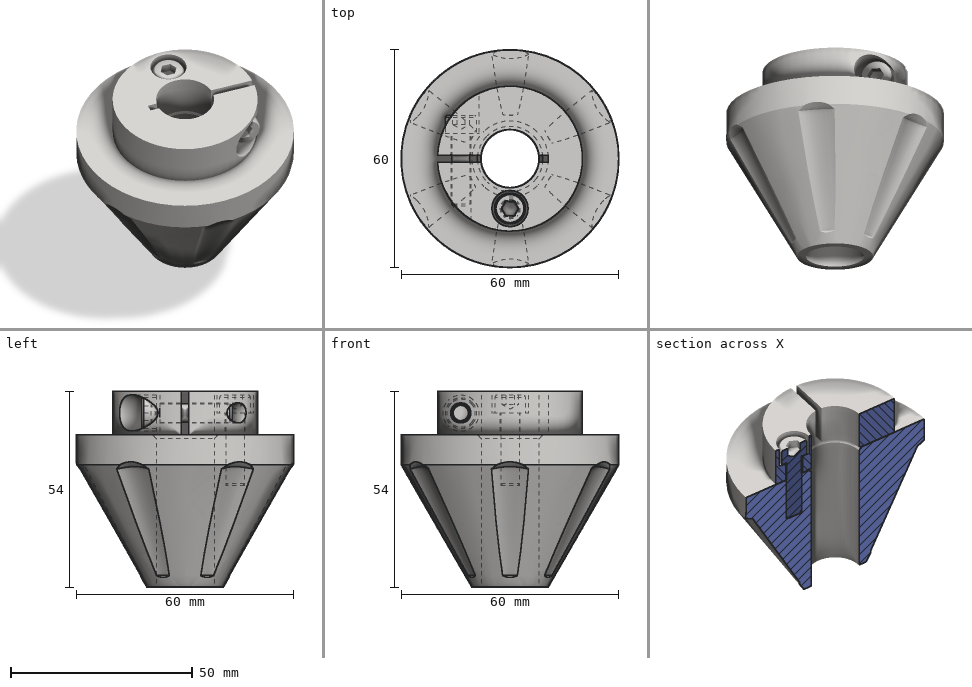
import cadquery as cq
import math


flange_radius = 30.0
tip_radius = 10.5
cone_height = 42.0
half_angle = 30.0
bore_radius = 8.0
bore_chamfer = 1.0
taper_height = (flange_radius - tip_radius) / math.tan(math.radians(half_angle))

flute_count = 6
flute_radius = 10.0
flute_bottom_radius = 12.0
flute_bottom_z = 3.3
flute_top_radius = 27.6
flute_top_z = 33.2
flute_end_angle = 57.0
flute_end_length = 4.8

collar_radius = 20.0
collar_height = 12.0
slot_width = 2.0
slot_reach = 10.5
total_height = cone_height + collar_height

shank_radius = 2.5
shank_length = 20.0
head_radius = 4.25
head_height = 5.0
socket_width = 4.0
socket_depth = 2.5
socket_sides = 6
socket_cone_angle = 30.0
chamfer_width = 0.39
chamfer_length = 0.6

fixing_offset = 13.75
clamp_offset = 13.55
clearance_radius = 2.75
counterbore_radius = 5.0
fixing_counterbore_depth = 6.0
fixing_seat_z = total_height - fixing_counterbore_depth
clamp_seat_y = 7.0
clamp_z = cone_height + collar_height / 2


def fixing_hole(radius, bottom, top):
    """Vertical cylinder on the axis of the fixing screw."""
    return cq.Workplane("XY", origin=(0, -fixing_offset, bottom)).circle(radius).extrude(top - bottom)


def clamp_hole(radius, start, end):
    """Cylinder along Y on the axis of the clamp screw."""
    return cq.Workplane("XZ", origin=(-clamp_offset, end, clamp_z)).circle(radius).extrude(end - start)


def make_flute_cutter():
    """Round bar with conical ends, lying along the taper on the -Y side."""
    rise = flute_top_z - flute_bottom_z
    spread = flute_top_radius - flute_bottom_radius
    length = math.hypot(rise, spread)
    tilt = math.degrees(math.atan2(spread, rise))
    end_radius = flute_radius - flute_end_length / math.tan(math.radians(flute_end_angle))
    bar = (
        cq.Workplane("XZ")
        .moveTo(0, -flute_end_length)
        .lineTo(end_radius, -flute_end_length)
        .lineTo(flute_radius, 0)
        .lineTo(flute_radius, length)
        .lineTo(end_radius, length + flute_end_length)
        .lineTo(0, length + flute_end_length)
        .close()
        .revolve(360, (0, 0, 0), (0, 1, 0))
    )
    return (
        bar.translate((0, -flute_radius, 0))
        .rotate((0, 0, 0), (1, 0, 0), tilt)
        .translate((0, -flute_bottom_radius, flute_bottom_z))
    )


def make_cone():
    cone = (
        cq.Workplane("XZ")
        .moveTo(bore_radius, 0)
        .lineTo(tip_radius, 0)
        .lineTo(flange_radius, taper_height)
        .lineTo(flange_radius, cone_height)
        .lineTo(bore_radius + bore_chamfer, cone_height)
        .lineTo(bore_radius, cone_height - bore_chamfer)
        .close()
        .revolve(360, (0, 0, 0), (0, 1, 0))
    )
    cutter = make_flute_cutter()
    for i in range(flute_count):
        cone = cone.cut(cutter.rotate((0, 0, 0), (0, 0, 1), i * 360 / flute_count))
    return cone.cut(fixing_hole(shank_radius, fixing_seat_z - shank_length, cone_height))


def make_collar():
    collar = (
        cq.Workplane("XY", origin=(0, 0, cone_height))
        .circle(collar_radius)
        .circle(bore_radius)
        .extrude(collar_height)
    )
    slot_length = collar_radius + slot_reach
    slot = cq.Workplane("XY").box(slot_length, slot_width, collar_height, centered=(False, True, False))
    collar = collar.cut(slot.translate((-collar_radius, 0, cone_height)))
    collar = collar.cut(fixing_hole(clearance_radius, cone_height, total_height))
    collar = collar.cut(fixing_hole(counterbore_radius, fixing_seat_z, total_height))
    collar = collar.cut(clamp_hole(clearance_radius, -collar_radius, collar_radius))
    return collar.cut(clamp_hole(counterbore_radius, clamp_seat_y, collar_radius))


def make_screw():
    """Socket head screw along Z, with the underside of its head at Z = 0."""
    screw = (
        cq.Workplane("XZ")
        .moveTo(0, -shank_length)
        .lineTo(shank_radius - chamfer_width, -shank_length)
        .lineTo(shank_radius, chamfer_length - shank_length)
        .lineTo(shank_radius, 0)
        .lineTo(head_radius, 0)
        .lineTo(head_radius, head_height - chamfer_length)
        .lineTo(head_radius - chamfer_width, head_height)
        .lineTo(0, head_height)
        .close()
        .revolve(360, (0, 0, 0), (0, 1, 0))
    )
    socket_corner_radius = socket_width / 2 / math.cos(math.pi / socket_sides)
    socket_floor = head_height - socket_depth
    socket = (
        cq.Workplane("XY", origin=(0, 0, socket_floor))
        .polygon(socket_sides, 2 * socket_corner_radius)
        .extrude(socket_depth)
    )
    socket_cone = cq.Workplane(
        cq.Solid.makeCone(
            socket_corner_radius,
            0,
            socket_corner_radius * math.tan(math.radians(socket_cone_angle)),
            pnt=cq.Vector(0, 0, socket_floor),
            dir=cq.Vector(0, 0, -1),
        )
    )
    return screw.cut(socket).cut(socket_cone)


cone = make_cone()
collar = make_collar()
screw = make_screw()
screw_placements = [
    (0, (0, -fixing_offset, fixing_seat_z)),
    (-90, (-clamp_offset, clamp_seat_y, clamp_z)),
]
screws = []
for turn, seat in screw_placements:
    screws.append(screw.rotate((0, 0, 0), (1, 0, 0), turn).translate(seat).val())

result = cq.Compound.makeCompound([cone.val(), collar.val(), *screws])